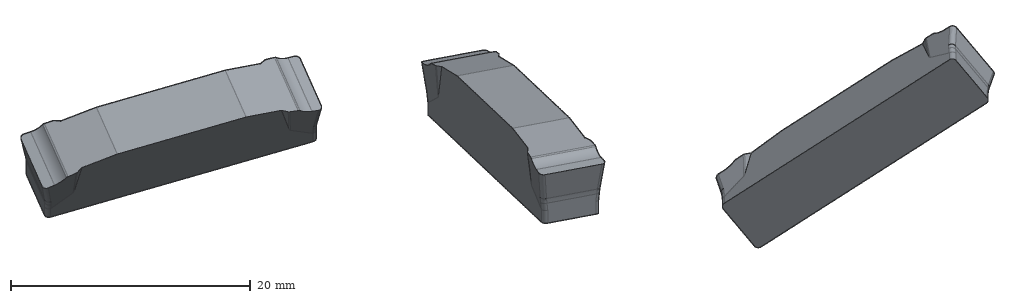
import cadquery as cq
import math

half_length = 24.82 / 2
height = 6.14
core_half_width = 2.6

tip_height = 4.69
land_length = 0.98
land_angle = 8
groove_end = 2.04
groove_end_height = 5.38
groove_exit_angle = 42
ridge_end = 2.19
ridge_end_height = 5.45
crown_start = 6.69

flank_foot_height = 2.31
flank_angle = 7.5
blend_foot_height = 1.86

pad_half_width = 3.023
pad_side_relief = math.tan(math.radians(6))
pad_back_relief = math.tan(math.radians(4))
shoulder_base_distance = 2.82
shoulder_base_height = 2.51
shoulder_rake = math.tan(math.radians(13))
shoulder_angle = 30
shoulder_radius = 0.3
corner_radius = 0.4

steep = 0.7


def arc_middle(start, end, start_angle):
    """Midpoint of the arc from start to end that leaves start at start_angle (degrees)."""
    run = end[0] - start[0]
    rise = end[1] - start[1]
    half_turn = math.atan2(rise, run) - math.radians(start_angle)
    bulge = math.tan(half_turn / 2) / 2
    return (start[0] + run / 2 + bulge * rise, start[1] + rise / 2 - bulge * run)


def make_profile():
    """Half of the lengthwise outline at the -Y end, extruded across the full width."""
    flank_inset = (tip_height - flank_foot_height) * math.tan(math.radians(flank_angle))
    flank_foot_y = -half_length + flank_inset
    blend_height = flank_foot_height - blend_foot_height
    foot_y = flank_foot_y + blend_height * math.tan(math.radians(flank_angle / 2))
    blend_start_point = (foot_y, blend_foot_height)
    blend_end_point = (flank_foot_y, flank_foot_height)
    land_rise = land_length * math.tan(math.radians(land_angle))
    groove_start_point = (-half_length + land_length, tip_height + land_rise)
    groove_end_point = (-half_length + groove_end, groove_end_height)
    ridge_end_point = (-half_length + ridge_end, ridge_end_height)
    return (
        cq.Workplane("YZ")
        .moveTo(0, 0)
        .lineTo(foot_y, 0)
        .lineTo(*blend_start_point)
        .threePointArc(arc_middle(blend_start_point, blend_end_point, 90), blend_end_point)
        .lineTo(-half_length, tip_height)
        .lineTo(*groove_start_point)
        .threePointArc(arc_middle(groove_start_point, groove_end_point, land_angle), groove_end_point)
        .threePointArc(
            arc_middle(groove_end_point, ridge_end_point, groove_exit_angle), ridge_end_point
        )
        .lineTo(-half_length + crown_start, height)
        .lineTo(0, height)
        .close()
        .extrude(pad_half_width * 2, both=True)
    )


def pad_section(z):
    """Plan outline of the pads at height z: relieved sides, then a shoulder slanting inward."""
    side_at_tip = pad_half_width + pad_side_relief * (z - tip_height)
    shoulder_slope = math.tan(math.radians(shoulder_angle))
    shoulder_foot = shoulder_base_distance + shoulder_rake * (z - shoulder_base_height)
    shoulder_at_tip = core_half_width + shoulder_slope * shoulder_foot
    corner = (shoulder_at_tip - side_at_tip) / (shoulder_slope - pad_back_relief)
    corner_x = side_at_tip - pad_back_relief * corner
    back = shoulder_at_tip / shoulder_slope
    right = [(side_at_tip, 0), (corner_x, corner), (0, back)]
    left = [(-corner_x, corner), (-side_at_tip, 0)]
    return [(x, distance - half_length) for x, distance in right + left]


def make_pads():
    """Block whose sides are the pad faces, with the upright shoulder edges rounded."""
    block = (
        cq.Workplane("XY")
        .polyline(pad_section(0))
        .close()
        .workplane(offset=height)
        .polyline(pad_section(height))
        .close()
        .loft(ruled=True)
    )

    def is_shoulder_edge(edge):
        middle = edge.Center()
        rises = abs(edge.tangentAt(0.5).z) > steep
        return rises and abs(middle.x) > core_half_width / 2 and middle.y > -half_length + land_length

    return block.edges().filter(is_shoulder_edge).fillet(shoulder_radius)


def round_end_corners(body):
    """Round the upright corners between the end face and the sides, from foot to cutting edge."""

    def is_end_corner(edge):
        middle = edge.Center()
        rises = abs(edge.tangentAt(0.5).z) > steep
        return rises and middle.y < -half_length + corner_radius

    return body.edges().filter(is_end_corner).fillet(corner_radius)


def make_half():
    """The -Y half of the part: core and pads, both trimmed to the lengthwise outline."""
    core = cq.Workplane("XY").box(
        2 * core_half_width, 2 * half_length, height, centered=(True, True, False)
    )
    profile = make_profile()
    body = profile.intersect(core).union(profile.intersect(make_pads()))
    return round_end_corners(body)


half = make_half()
result = half.union(half.mirror("XZ")).clean()